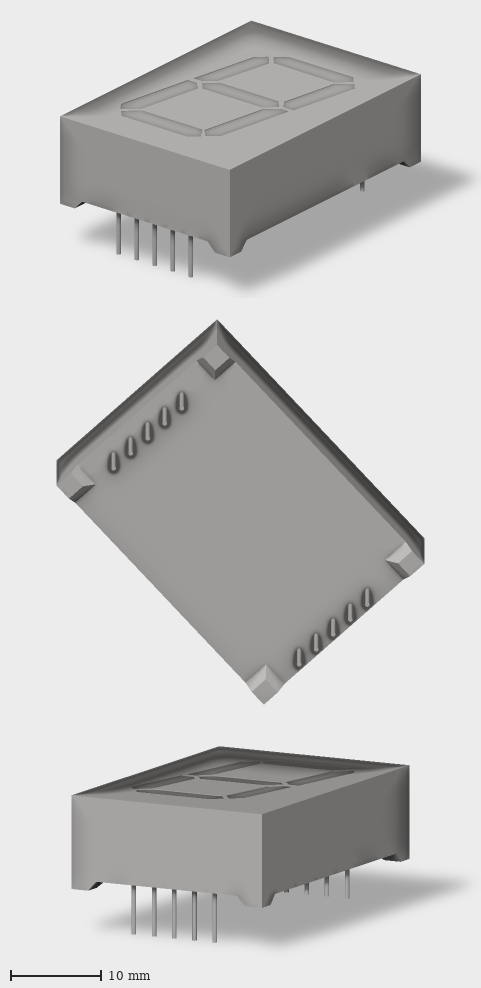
import cadquery as cq

width = 24.0
length = 34.0
total_height = 15.3

body_height = 10.55
foot_height = 1.1
foot_width_x = 2.1
foot_width_y = 2.0
foot_flare = 1.02

pins_per_row = 5
pin_diameter = 0.5
pin_pitch = 2.55
row_offset = 15.23

segment_depth = 0.1

sole_z = total_height - body_height
root_z = sole_z + foot_height

segment_outlines = {
    "top": [(-3.77, 10.57), (-2.45, 11.7), (6.63, 11.7), (7.48, 10.65), (5.88, 9.2), (-2.65, 9.28)],
    "upper left": [(-4.25, 10.35), (-3.03, 8.87), (-4.4, 1.63), (-5.7, 0.45), (-7.0, 0.45), (-5.47, 9.25)],
    "upper right": [(7.85, 10.35), (8.75, 9.3), (7.2, 0.35), (5.8, 0.35), (4.9, 1.55), (6.12, 8.87)],
    "middle": [(-5.4, -0.05), (-3.77, 1.33), (4.3, 1.33), (5.4, 0.07), (3.95, -1.15), (-4.42, -1.15)],
    "lower left": [(-7.2, -0.27), (-5.95, -0.27), (-4.85, -1.53), (-6.22, -9.8), (-8.0, -11.32), (-8.85, -10.05)],
    "lower right": [(5.8, -0.17), (7.0, -0.17), (5.37, -10.15), (4.05, -11.32), (2.9, -10.05), (4.32, -1.5)],
    "bottom": [(-7.6, -11.65), (-5.95, -10.05), (2.65, -10.05), (3.67, -11.65), (2.45, -12.65), (-6.73, -12.65)],
}


def underside_channel(plane, span, foot_width, run):
    """Trapezoidal channel across the underside, leaving a foot at each end of span."""
    half_sole = span / 2 - foot_width
    half_root = half_sole - foot_flare
    corners = [(-half_sole, sole_z), (half_sole, sole_z), (half_root, root_z), (-half_root, root_z)]
    return cq.Workplane(plane).polyline(corners).close().extrude(run / 2, both=True)


def housing():
    """Block with crossing channels that leave a foot at each corner."""
    block = cq.Workplane("XY", origin=(0, 0, sole_z)).rect(width, length).extrude(body_height)
    block = block.cut(underside_channel("XZ", width, foot_width_x, length))
    return block.cut(underside_channel("YZ", length, foot_width_y, width))


def segment_recess(outline):
    """Shallow pocket tool reaching down from the top face."""
    top_face = cq.Workplane("XY", origin=(0, 0, total_height))
    return top_face.polyline(outline).close().extrude(-segment_depth)


def pins():
    """Round pins in two rows, running down from the underside."""
    return (
        cq.Workplane("XY")
        .rarray(pin_pitch, 2 * row_offset, pins_per_row, 2)
        .circle(pin_diameter / 2)
        .extrude(root_z)
    )


result = housing().union(pins())
for outline in segment_outlines.values():
    result = result.cut(segment_recess(outline))